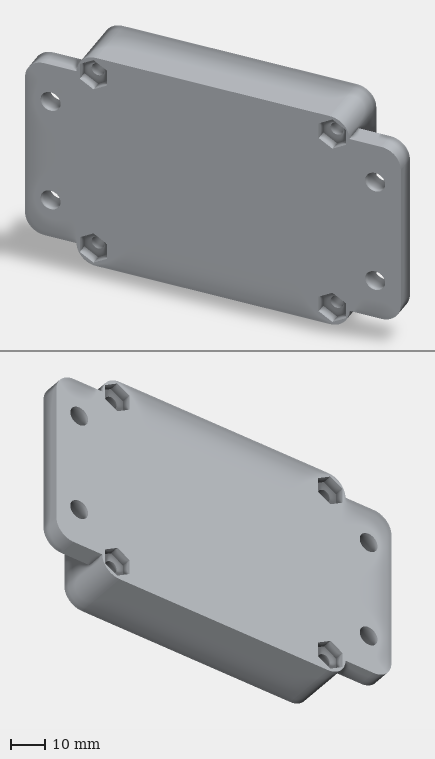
import cadquery as cq
import math

overall_length = 120.5
overall_depth = 18.9
body_height = 72.3
body_length = 87.5

corner_radius = 6.3
flange_height = body_height - 2 * corner_radius
flange_thickness = 6.4

mount_hole_diameter = 6.4
mount_spacing_x = 104.2
mount_spacing_z = 34.2

screw_hole_diameter = 4.1
screw_spacing_x = 76.7
screw_spacing_z = 60.3
nut_across_flats = 8.8
nut_across_corners = nut_across_flats / math.cos(math.radians(30))
nut_recess_depth = 3.3


def front_plane():
    """Sketch plane on the front face, Y = 0, with its normal towards -Y."""
    return cq.Workplane("XZ")


def rounded_plate(length, height, thickness):
    """Plate with rounded corners, extending from the front face towards +Y."""
    plate = front_plane().rect(length, height).extrude(-thickness)
    return plate.edges("|Y").fillet(corner_radius)


def corner_holes(spacing_x, spacing_z, diameter):
    """Four holes at the corners of a rectangle, as deep as the whole part."""
    centers = front_plane().rect(spacing_x, spacing_z, forConstruction=True).vertices()
    return centers.circle(diameter / 2).extrude(-overall_depth)


def nut_recesses():
    """Four hexagonal pockets with corners pointing up and down."""
    centers = front_plane().rect(screw_spacing_x, screw_spacing_z, forConstruction=True).vertices()
    hexagon = cq.Sketch().regularPolygon(nut_across_corners / 2, 6)
    return centers.placeSketch(hexagon).extrude(-nut_recess_depth)


body = rounded_plate(body_length, body_height, overall_depth)
flange = rounded_plate(overall_length, flange_height, flange_thickness)

result = (
    body.union(flange)
    .cut(corner_holes(mount_spacing_x, mount_spacing_z, mount_hole_diameter))
    .cut(corner_holes(screw_spacing_x, screw_spacing_z, screw_hole_diameter))
    .cut(nut_recesses())
)